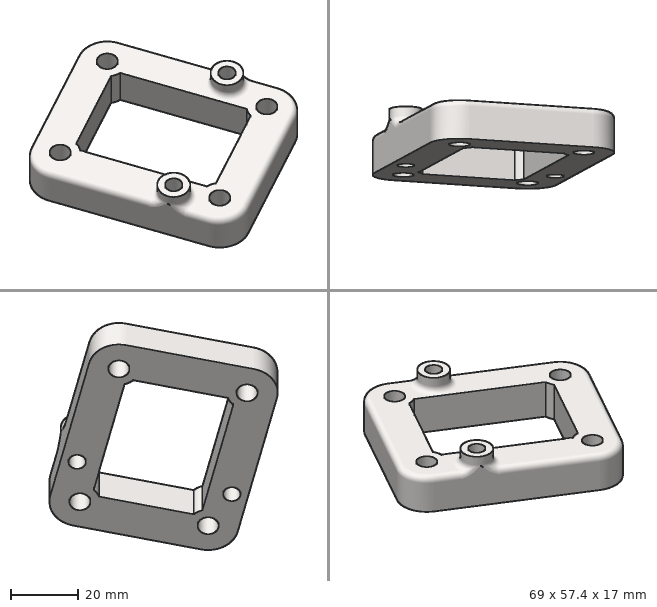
import cadquery as cq

length = 69.0
width = 57.35
total_height = 17.0
plate_height = 12.0
corner_radius = 9.1
blend_radius = 2.0

mount_hole_diameter = 6.3
mount_wall_radius = 6.0
mount_x = length / 2 - corner_radius
mount_y = width / 2 - corner_radius
mount_points = [(sx * mount_x, sy * mount_y) for sx in (-1, 1) for sy in (-1, 1)]

window_length = 44.45
window_width = 33.2

boss_diameter = 9.8
boss_hole_diameter = 5.2
boss_radius = boss_diameter / 2
boss_wall_gap = 0.015
rear_boss_x = 11.1
front_boss_x = 12.35
boss_y = width / 2 - boss_radius - boss_wall_gap
boss_points = [(rear_boss_x, boss_y), (front_boss_x, -boss_y)]
flare_top = plate_height + blend_radius


def rounded_block(height):
    """Block with the plate outline, standing on Z = 0."""
    block = cq.Workplane("XY").box(length, width, height, centered=(True, True, False))
    return block.edges("|Z").fillet(corner_radius)


def flare(x, y):
    """Round foot sweeping from the plate top up into a boss, extended down to the floor."""
    foot_radius = boss_radius + blend_radius
    profile = (
        cq.Workplane("XZ")
        .lineTo(foot_radius, 0)
        .lineTo(foot_radius, plate_height)
        .radiusArc((boss_radius, flare_top), blend_radius)
        .lineTo(0, flare_top)
        .close()
    )
    return profile.revolve(360, (0, 0), (0, 1)).translate((x, y, 0))


def is_top_rim(edge):
    """True for an edge along the top of the outer walls, including where it climbs a flare."""
    margin = 0.01
    middle = edge.positionAt(0.5)
    on_long_wall = abs(middle.y) > width / 2 - margin
    on_end_or_corner = abs(middle.x) > mount_x + margin
    return edge.BoundingBox().zmin > plate_height - margin and (on_long_wall or on_end_or_corner)


def solid_body():
    """Plate with flared bosses trimmed flush to its walls and the top edge rounded over."""
    body = rounded_block(plate_height)
    outline = rounded_block(total_height)
    for x, y in boss_points:
        body = body.union(flare(x, y).intersect(outline))
    rim = [edge for edge in body.edges().vals() if is_top_rim(edge)]
    body = body.newObject(rim).fillet(blend_radius)
    bosses = (
        cq.Workplane("XY", origin=(0, 0, flare_top))
        .pushPoints(boss_points)
        .circle(boss_radius)
        .extrude(total_height - flare_top)
    )
    return body.union(bosses)


def window():
    """Rectangular opening that leaves a round wall about each mounting hole."""
    opening = cq.Workplane("XY").rect(window_length, window_width).extrude(plate_height)
    hole_walls = cq.Workplane("XY").pushPoints(mount_points).circle(mount_wall_radius).extrude(plate_height)
    return opening.cut(hole_walls)


def through_holes(points, diameter):
    """Vertical cutters running the full height of the part."""
    return cq.Workplane("XY").pushPoints(points).circle(diameter / 2).extrude(total_height)


result = (
    solid_body()
    .cut(window())
    .cut(through_holes(mount_points, mount_hole_diameter))
    .cut(through_holes(boss_points, boss_hole_diameter))
)